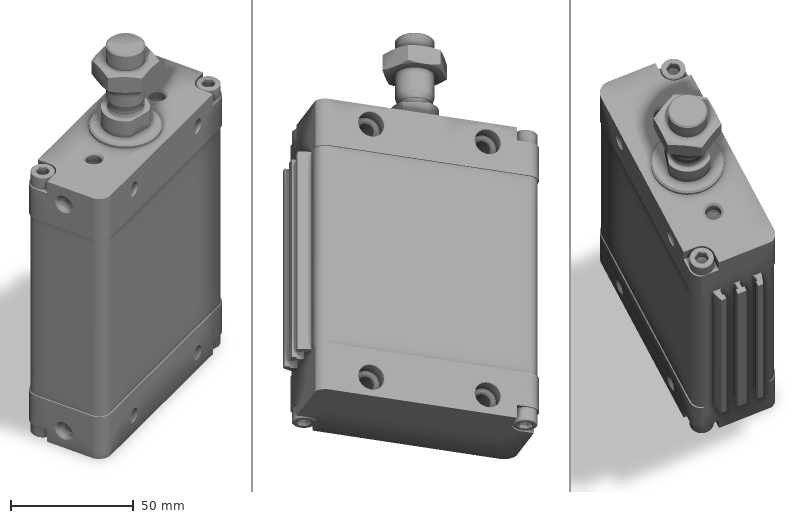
import cadquery as cq
import math


total_height = 174.0
rear_cap_height = 21.2
barrel_length = 89.6
head_cap_height = 21.0
barrel_top = rear_cap_height + barrel_length
head_cap_top = barrel_top + head_cap_height

cap_width = 38.0
cap_end = 48.5
barrel_inset = 0.5
rail_face = cap_end - barrel_inset

screw_x = 13.4
screw_y = 43.0
corner_radius = cap_end - screw_y
screw_head_diameter = 10.0
screw_head_height = 6.0
screw_head_chamfer = 0.3
screw_pocket_diameter = 11.0
socket_width = 5.0
socket_mouth = 6.0
socket_depth = 3.8
socket_cone_depth = 1.4

hole_pitch = 50.1
thread_bore = 6.6
port_mouth = 8.4
thread_depth = 4.5
pilot_bore = 5.7
pilot_depth = 4.9
thread_countersink = 8.0
counterbore = 11.0
counterbore_mouth = 11.5
counterbore_depth = 6.0
hole_drop = 8.5

boss_diameter = 30.0
boss_height = 2.0
boss_chamfer = 0.7
boss_top = head_cap_top + boss_height

rail_height = 5.4
rail_lip = 3.1
rail_foot = 0.9
tee_head_half = 2.0
tee_stem_half = 0.9
tee_foot_half = 1.5
hook_tip_outer = 9.2
hook_base_outer = 10.8
hook_mid_outer = 10.3
hook_lip_inner = 7.1
hook_stem_inner = 7.8

rod_diameter = 20.0
rod_flat_width = 17.0
rod_flat_angle = -15.0
rod_shoulder = 142.0
neck_diameter = 14.0
neck_bottom = 143.0
neck_top = 145.0
neck_foot_diameter = 15.0
thread_diameter = 16.0
thread_end_diameter = 14.5
thread_bottom = 147.7
thread_tip_chamfer = 0.7

nut_width = 24.0
nut_height = 8.0
nut_bottom = 158.0
nut_chamfer_angle = 20.0


def hexagon_span(width):
    """Distance across the corners of a hexagon from its width across the flats."""
    return width / math.cos(math.radians(30))


def cylinder(diameter, depth, base, axis):
    """Cylinder from base along axis."""
    return cq.Workplane(cq.Solid.makeCylinder(diameter / 2, depth, cq.Vector(*base), cq.Vector(*axis)))


def cone(start_diameter, end_diameter, base, axis):
    """45 degree cone that narrows from base along axis."""
    depth = (start_diameter - end_diameter) / 2
    solid = cq.Solid.makeCone(start_diameter / 2, end_diameter / 2, depth, cq.Vector(*base), cq.Vector(*axis))
    return cq.Workplane(solid)


def rounded_slab(inset, height):
    """Plate set in from the cap outline, with round corners and a flat trim on its +Y side."""
    width = cap_width - 2 * inset
    end = cap_end - inset
    slab = cq.Workplane("XY").box(width, 2 * end, height, centered=(True, True, False))
    slab = slab.edges("|Z").fillet(corner_radius - inset)
    trim = cq.Workplane("XY").box(width, 2 * end, height, centered=(True, True, False))
    return slab.intersect(trim.translate((0, rail_face - end, 0)))


def port(base, axis):
    """Blind threaded port with a countersunk mouth, narrower at its end."""
    bore = cylinder(thread_bore, thread_depth, base, axis)
    pilot = cylinder(pilot_bore, pilot_depth, base, axis)
    return bore.union(pilot).union(cone(port_mouth, thread_bore, base, axis))


def mounting_hole(y, z):
    """Through hole along X, counterbored from the -X side."""
    face = -cap_width / 2
    seat = face + counterbore_depth
    along = (1, 0, 0)
    hole = cylinder(thread_bore, cap_width, (face, y, z), along)
    hole = hole.union(cylinder(counterbore, counterbore_depth, (face, y, z), along))
    hole = hole.union(cone(counterbore_mouth, counterbore, (face, y, z), along))
    return hole.union(cone(thread_countersink, thread_bore, (seat, y, z), along))


def screw_pocket(top):
    """Corner pocket for the +X +Y screw: a round inner corner, open to both sides."""
    radius = screw_pocket_diameter / 2
    diagonal = radius / math.sqrt(2)
    reach = screw_pocket_diameter
    return (
        cq.Workplane("XY")
        .workplane(offset=top - screw_head_height)
        .moveTo(screw_x, screw_y - radius)
        .threePointArc(
            (screw_x - diagonal, screw_y - diagonal),
            (screw_x - radius, screw_y),
        )
        .lineTo(screw_x - radius, screw_y + reach)
        .lineTo(screw_x + reach, screw_y + reach)
        .lineTo(screw_x + reach, screw_y - radius)
        .close()
        .extrude(screw_head_height)
    )


def screw_head(top):
    """Socket head of the +X +Y screw; the hexagon socket has a countersunk mouth and a cone at its bottom."""
    head = (
        cq.Workplane("XY")
        .workplane(offset=top - screw_head_height)
        .center(screw_x, screw_y)
        .circle(screw_head_diameter / 2)
        .extrude(screw_head_height)
        .faces(">Z")
        .chamfer(screw_head_chamfer)
    )
    socket = (
        cq.Workplane("XY")
        .workplane(offset=top - socket_depth)
        .center(screw_x, screw_y)
        .transformed(rotate=(0, 0, 90))
        .polygon(6, hexagon_span(socket_width))
        .extrude(socket_depth)
    )
    socket_floor = cq.Vector(screw_x, screw_y, top - socket_depth)
    tip = cq.Solid.makeCone(socket_width / 2, 0, socket_cone_depth, socket_floor, cq.Vector(0, 0, -1))
    countersink = cone(socket_mouth, socket_width, (screw_x, screw_y, top), (0, 0, -1))
    return head.cut(socket).cut(cq.Workplane(tip)).cut(countersink)


def end_cap(height):
    """Cap with its outer face up, its screws, its mounting holes and its port on the -Y side."""
    cap = rounded_slab(0, height)
    hole_z = height - hole_drop
    for turn in (0, 180):
        cap = cap.cut(screw_pocket(height).rotate((0, 0, 0), (0, 0, 1), turn))
        cap = cap.union(screw_head(height).rotate((0, 0, 0), (0, 0, 1), turn))
    for y in (-hole_pitch / 2, hole_pitch / 2):
        cap = cap.cut(mounting_hole(y, hole_z))
    return cap.cut(port((0, -cap_end, hole_z), (0, 1, 0)))


def make_rear_cap():
    """Rear cap, with its outer face down on Z = 0."""
    return end_cap(rear_cap_height).mirror("XY").translate((0, 0, rear_cap_height))


def make_head_cap():
    """Head cap with two ports in its top, the bearing boss and the rod bore."""
    cap = end_cap(head_cap_height).translate((0, 0, barrel_top))
    for y in (-hole_pitch / 2, hole_pitch / 2):
        cap = cap.cut(port((0, y, head_cap_top), (0, 0, -1)))
    boss = (
        cq.Workplane("XY")
        .workplane(offset=head_cap_top)
        .circle(boss_diameter / 2)
        .extrude(boss_height)
        .faces(">Z")
        .chamfer(boss_chamfer)
    )
    rod_bore = (
        cq.Workplane("XY")
        .workplane(offset=barrel_top)
        .circle(rod_diameter / 2)
        .extrude(head_cap_height + boss_height)
    )
    return cap.union(boss).cut(rod_bore)


def tee_rail():
    """Middle rail, shaped like a T."""
    half_outline = [
        (tee_foot_half, 0),
        (tee_stem_half, rail_foot),
        (tee_stem_half, rail_lip),
        (tee_head_half, rail_lip),
        (tee_head_half, rail_height),
    ]
    other_half = [(-x, y) for x, y in reversed(half_outline)]
    return cq.Workplane("XY").polyline(half_outline + other_half).close().extrude(barrel_length)


def hook_rail():
    """Outer rail on the +X side: a curved back, and a lip that faces the middle rail."""
    return (
        cq.Workplane("XY")
        .moveTo(hook_base_outer, 0)
        .threePointArc((hook_mid_outer, rail_height / 2), (hook_tip_outer, rail_height))
        .lineTo(hook_lip_inner, rail_height)
        .lineTo(hook_lip_inner, rail_lip)
        .lineTo(hook_stem_inner, rail_lip)
        .lineTo(hook_stem_inner, rail_foot)
        .lineTo(hook_lip_inner, 0)
        .close()
        .extrude(barrel_length)
    )


def make_barrel():
    """Barrel between the caps, with three sensor rails."""
    barrel = rounded_slab(barrel_inset, barrel_length)
    for rail in (tee_rail(), hook_rail(), hook_rail().mirror("YZ")):
        barrel = barrel.union(rail.translate((0, rail_face, 0)))
    return barrel.translate((0, 0, rear_cap_height))


def make_rod():
    """Piston rod from the head cap's bore up to the thread tip, with two wrench flats."""
    tip_radius = thread_diameter / 2 - thread_tip_chamfer
    rod = (
        cq.Workplane("XZ")
        .polyline(
            [
                (0, barrel_top),
                (rod_diameter / 2, barrel_top),
                (rod_diameter / 2, rod_shoulder),
                (neck_foot_diameter / 2, rod_shoulder),
                (neck_diameter / 2, neck_bottom),
                (neck_diameter / 2, neck_top),
                (thread_end_diameter / 2, neck_top),
                (thread_diameter / 2, thread_bottom),
                (thread_diameter / 2, total_height - thread_tip_chamfer),
                (tip_radius, total_height),
                (0, total_height),
            ]
        )
        .close()
        .revolve(360, (0, 0, 0), (0, 1, 0))
    )
    flat_height = rod_shoulder - boss_top
    flat_offset = (rod_flat_width + rod_diameter) / 2
    sides = (
        cq.Workplane("XY")
        .workplane(offset=boss_top)
        .pushPoints([(-flat_offset, 0), (flat_offset, 0)])
        .rect(rod_diameter, rod_diameter)
        .extrude(flat_height)
    )
    return rod.cut(sides.rotate((0, 0, 0), (0, 0, 1), rod_flat_angle))


def make_nut():
    """Hexagon nut with flats on the X sides and chamfered corners."""
    span = hexagon_span(nut_width)
    chamfer_drop = (span - nut_width) / 2 * math.tan(math.radians(nut_chamfer_angle))
    blank = cq.Workplane("XY").polygon(6, span).extrude(nut_height).rotate((0, 0, 0), (0, 0, 1), 90)
    envelope = (
        cq.Workplane("XZ")
        .polyline(
            [
                (thread_diameter / 2, 0),
                (nut_width / 2, 0),
                (span / 2, chamfer_drop),
                (span / 2, nut_height - chamfer_drop),
                (nut_width / 2, nut_height),
                (thread_diameter / 2, nut_height),
            ]
        )
        .close()
        .revolve(360, (0, 0, 0), (0, 1, 0))
    )
    return blank.intersect(envelope).translate((0, 0, nut_bottom))


rear_cap = make_rear_cap()
barrel = make_barrel()
head_cap = make_head_cap()
rod = make_rod()
nut = make_nut()

result = cq.Compound.makeCompound([rear_cap.val(), barrel.val(), head_cap.val(), rod.val(), nut.val()])